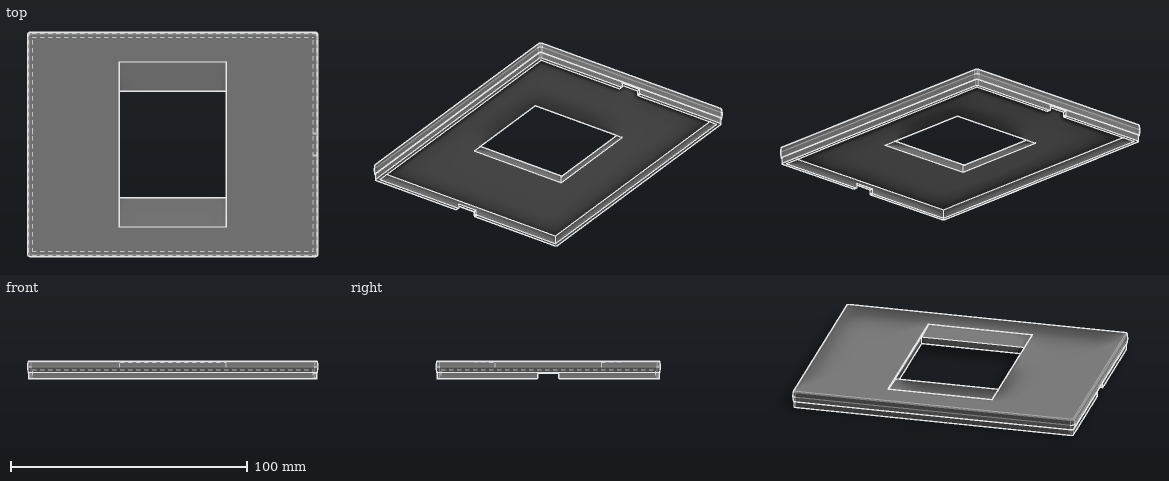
import cadquery as cq

length = 123.2
width = 95.2
height = 7.5
corner_radius = 1.5

rim_line_z = 5.0
rim_draft = 0.4
skirt_height = 2.7
skirt_inset = 0.6
top_edge_radius = 0.5

wall = 1.6
ceiling_z = 3.8

opening = 45.0
window_width = 45.6
window_length = 70.0
strip_outer_drop = 0.1
strip_inner_drop = 0.6
side_bevel_depth = 0.2

notch_width = 8.9
notch_height = 2.2
notch_chamfer = 0.4


def outline(z, inset):
    """Rounded plate outline at height z, moved inwards by inset."""
    shape = (
        cq.Sketch()
        .rect(length - 2 * inset, width - 2 * inset)
        .vertices()
        .fillet(corner_radius - inset)
    )
    return cq.Workplane("XY", origin=(0, 0, z)).placeSketch(shape)


def drafted_layer(bottom_z, bottom_inset, top_z, top_inset):
    """Solid between two plate outlines at different heights."""
    bottom = outline(bottom_z, bottom_inset).extrude(1.2).faces("<Z").wires().val()
    top = outline(top_z, top_inset).extrude(1.2).faces("<Z").wires().val()
    return cq.Workplane(cq.Solid.makeLoft([bottom, top], True))


def plate_body():
    """Skirt and the two drafted halves of the rim."""
    skirt = outline(0, skirt_inset).extrude(skirt_height)
    lower_rim = drafted_layer(skirt_height, rim_draft, rim_line_z, 0)
    upper_rim = drafted_layer(rim_line_z, 0, height, rim_draft)
    upper_rim = upper_rim.faces(">Z").edges().fillet(top_edge_radius)
    return skirt.union(lower_rim).union(upper_rim)


def underside_pocket():
    """Space enclosed by the skirt walls below the plate ceiling."""
    inset = skirt_inset + wall
    return cq.Workplane("XY").rect(length - 2 * inset, width - 2 * inset).extrude(ceiling_z)


def window():
    """Bevelled central opening, plus the shallow recess over both strips."""
    half_opening = opening / 2
    half_length = window_length / 2
    strip_outer_z = height - strip_outer_drop
    strip_inner_z = height - strip_inner_drop
    bevel_z = height - side_bevel_depth
    lengthwise = (
        cq.Workplane("YZ")
        .moveTo(-half_length, height)
        .lineTo(-half_length, strip_outer_z)
        .lineTo(-half_opening, strip_inner_z)
        .lineTo(-half_opening, ceiling_z)
        .lineTo(half_opening, ceiling_z)
        .lineTo(half_opening, strip_inner_z)
        .lineTo(half_length, strip_outer_z)
        .lineTo(half_length, height)
        .close()
        .extrude(window_width / 2, both=True)
    )
    crosswise = (
        cq.Workplane("XZ")
        .moveTo(-window_width / 2, height)
        .lineTo(-half_opening, bevel_z)
        .lineTo(-half_opening, ceiling_z)
        .lineTo(half_opening, ceiling_z)
        .lineTo(half_opening, bevel_z)
        .lineTo(window_width / 2, height)
        .close()
        .extrude(half_length, both=True)
    )
    return lengthwise.intersect(crosswise)


def end_notches():
    """Channel along X that breaks through both end walls, flared at the bottom edge."""
    half_width = notch_width / 2
    return (
        cq.Workplane("YZ")
        .moveTo(-half_width - notch_chamfer, 0)
        .lineTo(-half_width, notch_chamfer)
        .lineTo(-half_width, notch_height)
        .lineTo(half_width, notch_height)
        .lineTo(half_width, notch_chamfer)
        .lineTo(half_width + notch_chamfer, 0)
        .close()
        .extrude(length / 2, both=True)
    )


result = plate_body().cut(underside_pocket()).cut(window()).cut(end_notches())